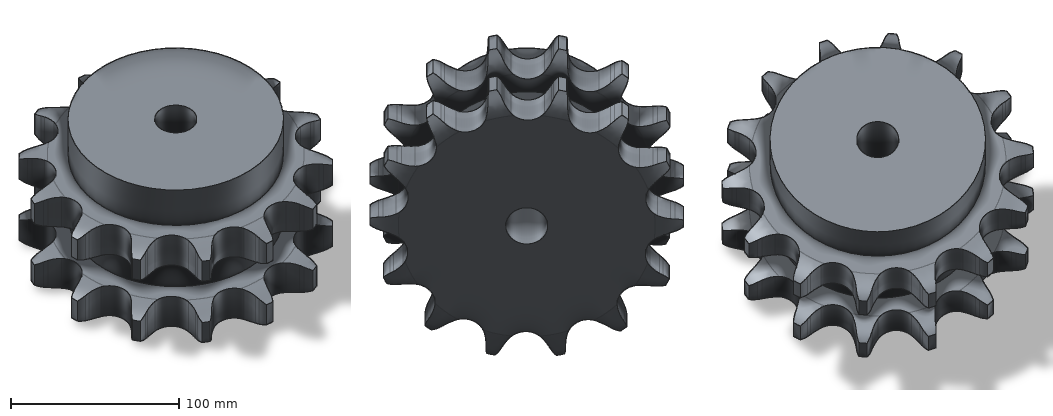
import cadquery as cq
import math


tooth_count = 14
tip_radius = 186.2 / 2
total_height = 100.0
hub_diameter = 128.0
bore_diameter = 25.0

disc_thickness = 23.6
disc_spacing = 48.5
crown_radius = 38.2
crown_drop = 4.0

pitch_radius = 171.1 / 2
roller_diameter = 25.3
seat_radius = 12.8
working_radius = 1.3025 * roller_diameter
seat_half_angle = math.radians(55 - 60 / tooth_count)
working_angle = math.radians(18 - 56 / tooth_count)
topping_tilt = math.radians(17 - 64 / tooth_count)
flank_length = roller_diameter * (1.4 * math.sin(topping_tilt) - 0.8 * math.sin(working_angle))
topping_radius = (
    roller_diameter * (0.8 * math.cos(working_angle) + 1.4 * math.cos(topping_tilt)) - working_radius
)


def offset(point, distance, angle):
    """Point at a distance from another, with the angle measured from straight inwards (-V)."""
    return (point[0] + distance * math.sin(angle), point[1] - distance * math.cos(angle))


def half_gap():
    """Points of one half of a tooth gap, in (U across the gap, V radially outwards)."""
    flank_angle = seat_half_angle + working_angle
    seat_center = (0, pitch_radius)
    root = offset(seat_center, seat_radius, 0)
    seat_end = offset(seat_center, seat_radius, seat_half_angle)

    working_center = offset(seat_end, -working_radius, seat_half_angle)
    working_middle = offset(working_center, working_radius, seat_half_angle + working_angle / 2)
    working_end = offset(working_center, working_radius, flank_angle)

    flank_end = offset(working_end, flank_length, flank_angle + math.pi / 2)

    topping_center = offset(flank_end, topping_radius, flank_angle)
    center_distance = math.hypot(*topping_center)
    center_angle = math.atan2(topping_center[0], topping_center[1])
    tip_angle = center_angle - math.acos(
        (center_distance**2 + tip_radius**2 - topping_radius**2) / (2 * center_distance * tip_radius)
    )
    tip = (tip_radius * math.sin(tip_angle), tip_radius * math.cos(tip_angle))
    topping_end_angle = math.atan2(topping_center[0] - tip[0], tip[1] - topping_center[1])
    topping_middle_angle = (flank_angle + topping_end_angle) / 2
    topping_middle = offset(topping_center, -topping_radius, topping_middle_angle)
    return root, seat_end, working_middle, working_end, flank_end, topping_middle, tip


def tooth_outline():
    """Closed outline of all teeth, with tooth centres on +X and -X."""
    gap_side = half_gap()
    tooth_step = 2 * math.pi / tooth_count

    def placed(point, gap_angle, side):
        """A gap point turned to its gap; side is 1 or -1 for the two mirrored halves."""
        across = side * point[0]
        return (
            point[1] * math.cos(gap_angle) - across * math.sin(gap_angle),
            point[1] * math.sin(gap_angle) + across * math.cos(gap_angle),
        )

    tip_start = placed(gap_side[-1], tooth_step / 2, -1)
    outline = cq.Workplane("XY").moveTo(*tip_start)
    for index in range(tooth_count):
        gap_angle = (index + 0.5) * tooth_step
        tooth_angle = (index + 1) * tooth_step
        inward = [placed(point, gap_angle, -1) for point in gap_side]
        outward = [placed(point, gap_angle, 1) for point in gap_side]
        root, seat_start, working_in, working_start, flank_start, topping_in, _ = inward
        _, seat_end, working_out, working_end, flank_end, topping_out, tip = outward
        tooth_top = (tip_radius * math.cos(tooth_angle), tip_radius * math.sin(tooth_angle))
        next_tip = placed(gap_side[-1], gap_angle + tooth_step, -1)
        outline = (
            outline.threePointArc(topping_in, flank_start)
            .lineTo(*working_start)
            .threePointArc(working_in, seat_start)
            .threePointArc(root, seat_end)
            .threePointArc(working_out, working_end)
            .lineTo(*flank_end)
            .threePointArc(topping_out, tip)
            .threePointArc(tooth_top, next_tip)
        )
    return outline.close()


def crowned_blank():
    """Plain disc whose two faces curve down tangentially to the tip edge."""
    crown_angle = math.acos(1 - crown_drop / crown_radius)
    crown_start = tip_radius - crown_radius * math.sin(crown_angle)
    middle_x = crown_start + crown_radius * math.sin(crown_angle / 2)
    middle_drop = crown_radius * (1 - math.cos(crown_angle / 2))
    return (
        cq.Workplane("XZ")
        .lineTo(crown_start, 0)
        .threePointArc((middle_x, middle_drop), (tip_radius, crown_drop))
        .lineTo(tip_radius, disc_thickness - crown_drop)
        .threePointArc((middle_x, disc_thickness - middle_drop), (crown_start, disc_thickness))
        .lineTo(0, disc_thickness)
        .close()
        .revolve(360, (0, 0, 0), (0, 1, 0))
    )


toothed_disc = tooth_outline().extrude(disc_thickness).intersect(crowned_blank())

hub = cq.Workplane("XY").circle(hub_diameter / 2).extrude(total_height)
bore = cq.Workplane("XY").circle(bore_diameter / 2).extrude(total_height)

result = hub.union(toothed_disc).union(toothed_disc.translate((0, 0, disc_spacing))).cut(bore)